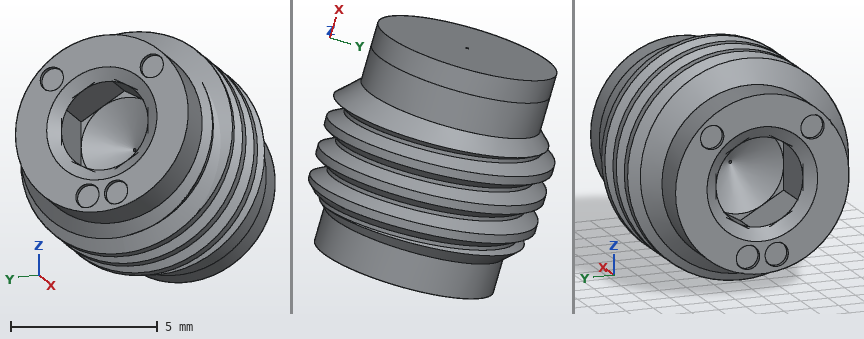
import cadquery as cq
import math

length = 7.94
thread_diameter = 7.94
collar_diameter = 6.35
thread_radius = thread_diameter / 2
collar_radius = collar_diameter / 2

front_collar_length = 1.27
threaded_zone_end = 5.835
cap_thickness = 0.82
body_length = length - cap_thickness
run_out_length = thread_radius - collar_radius

pitch = length / 7.5
thread_depth = 0.525
flank_half_angle = 30.0
root_width = 0.14
groove_start = 0.755
groove_turns = 5
cutter_overshoot = 0.05

socket_width = 3.175
mouth_diameter = 4.05
mouth_depth = 0.27
socket_end = 2.065
drill_point_angle = 118.0
vent_diameter = 0.095

mark_diameter = 0.85
mark_depth = 0.16
mark_circle_radius = 2.6
lower_mark_offset = 11.7
mark_angles = [45.0, 135.0, 270.0 - lower_mark_offset, 270.0 + lower_mark_offset]


def make_cylinder(diameter, start, end):
    """Cylinder on the X axis between two axial positions."""
    return cq.Workplane("YZ", origin=(start, 0, 0)).circle(diameter / 2).extrude(end - start)


def make_blank():
    """Turned blank: two collars and a raised zone with conical run-outs."""
    outline = [
        (0, 0),
        (0, collar_radius),
        (front_collar_length, collar_radius),
        (front_collar_length + run_out_length, thread_radius),
        (threaded_zone_end - run_out_length, thread_radius),
        (threaded_zone_end, collar_radius),
        (body_length, collar_radius),
        (body_length, 0),
    ]
    return cq.Workplane("XY").polyline(outline).close().revolve(360, (0, 0, 0), (1, 0, 0))


def make_groove_turn(turn):
    """One turn of the flat-rooted V groove, swept along Z and then laid along X."""
    root_radius = thread_radius - thread_depth
    outer_radius = thread_radius + cutter_overshoot
    root_half_width = root_width / 2
    flank_rise = (outer_radius - root_radius) * math.tan(math.radians(flank_half_angle))
    outer_half_width = root_half_width + flank_rise
    section = [
        (root_radius, -root_half_width),
        (outer_radius, -outer_half_width),
        (outer_radius, outer_half_width),
        (root_radius, root_half_width),
    ]
    helix = cq.Wire.makeHelix(pitch, pitch, root_radius)
    groove = cq.Workplane("XZ").polyline(section).close().sweep(helix, isFrenet=True)
    return groove.rotate((0, 0, 0), (0, 1, 0), 90).translate((groove_start + turn * pitch, 0, 0))


def make_socket():
    """Hexagonal socket with a conical mouth and a drilled, conical bottom."""
    mouth_radius = mouth_diameter / 2
    bore_radius = socket_width / 2
    tip = socket_end + bore_radius / math.tan(math.radians(drill_point_angle / 2))
    bore_outline = [
        (0, 0),
        (0, mouth_radius),
        (mouth_depth, bore_radius),
        (socket_end, bore_radius),
        (tip, 0),
    ]
    bore = cq.Workplane("XY").polyline(bore_outline).close().revolve(360, (0, 0, 0), (1, 0, 0))
    corner_diameter = socket_width / math.cos(math.radians(30))
    hexagon = (
        cq.Workplane("YZ", origin=(mouth_depth, 0, 0))
        .transformed(rotate=(0, 0, 90))
        .polygon(6, corner_diameter)
        .extrude(socket_end - mouth_depth)
    )
    return bore.union(hexagon)


def make_mark(angle):
    """One round mark, placed by its angle from +Y toward +Z."""
    y = mark_circle_radius * math.cos(math.radians(angle))
    z = mark_circle_radius * math.sin(math.radians(angle))
    return make_cylinder(mark_diameter, 0, mark_depth).translate((0, y, z))


def make_threaded_body():
    """Threaded body with its socket, marks and fine central vent."""
    body = make_blank()
    for turn in range(groove_turns):
        body = body.cut(make_groove_turn(turn))
    body = body.cut(make_socket())
    body = body.cut(make_cylinder(vent_diameter, 0, body_length))
    for angle in mark_angles:
        body = body.cut(make_mark(angle))
    return body


def make_end_cap():
    """Plain disc on the rear collar, pierced by the vent."""
    cap = make_cylinder(collar_diameter, body_length, length)
    return cap.cut(make_cylinder(vent_diameter, body_length, length))


threaded_body = make_threaded_body()
end_cap = make_end_cap()

result = cq.Compound.makeCompound([threaded_body.solids().val(), end_cap.solids().val()])